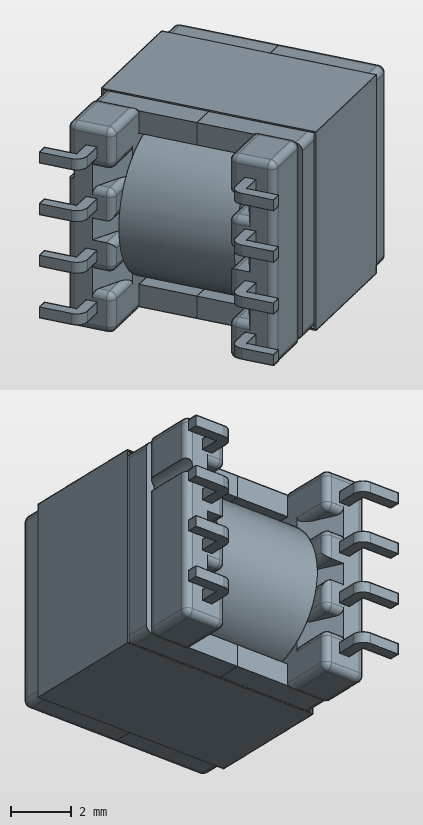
import cadquery as cq


EDGE_RADIUS = 0.25
PIN_PITCH = 1.9

CORE_WIDTH = 7.67
CORE_HEIGHT = 7.19
CORE_FRONT = 3.17
CORE_BACK = 9.77
CORE_DEPTH = CORE_BACK - CORE_FRONT
CORE_MID_Y = (CORE_FRONT + CORE_BACK) / 2

TAPE_THICKNESS_X = 0.07
TAPE_THICKNESS_Z = 0.05
TAPE_FRONT = 4.09
TAPE_BACK = 8.82

WINDING_RADIUS = 2.7
WINDING_LENGTH = 4.2
WINDING_CLEARANCE = 0.08
WINDING_FRONT = 1.58
AXIS_Y = WINDING_FRONT + WINDING_RADIUS
BARREL_RADIUS = 1.65
FLANGE_THICKNESS = 0.4
CAVITY_RADIUS = WINDING_RADIUS + WINDING_CLEARANCE
CAVITY_LENGTH = WINDING_LENGTH + 2 * FLANGE_THICKNESS

RAIL_INNER = WINDING_LENGTH / 2
RAIL_OUTER = 3.76
RAIL_FRONT = 1.14
RAIL_HEIGHT = 7.5
GROOVE_RADIUS = 0.25

NOTCH_DEPTH = 0.76
NOTCH_RUN = 1.52
SIDE_NOTCH_WIDTH = 0.75
MIDDLE_NOTCH_WIDTH = 0.8

PIN_THICKNESS = 0.4
PIN_LEG_INNER = 2.69
PIN_SPAN = 8.51
PIN_COUNT = 4


def box(x_range, y_range, z_range):
    """Box between the given limits on each axis."""
    low, high = zip(x_range, y_range, z_range)
    sizes = [b - a for a, b in zip(low, high)]
    return cq.Workplane("XY").box(*sizes, centered=False).translate(low)


def x_cylinder(radius, length):
    """Cylinder on the winding axis, centred on X = 0."""
    start = (-length / 2, AXIS_Y, 0)
    return cq.Workplane("YZ", origin=start).circle(radius).extrude(length)


def cavity_fill(x_start, x_end):
    """Slice of the core cavity: straight from the core front, then round at the back."""
    return (
        cq.Workplane("YZ", origin=(x_start, 0, 0))
        .moveTo(CORE_FRONT, -CAVITY_RADIUS)
        .lineTo(AXIS_Y, -CAVITY_RADIUS)
        .threePointArc((AXIS_Y + CAVITY_RADIUS, 0), (AXIS_Y, CAVITY_RADIUS))
        .lineTo(CORE_FRONT, CAVITY_RADIUS)
        .close()
        .extrude(x_end - x_start)
    )


def mirrored(shape):
    """Copy of a shape on the other side of X = 0."""
    return shape.mirror("YZ")


def make_core_half():
    """Core half on the +X side, with its open face at X = 0."""
    block = cq.Workplane("XY").box(CORE_WIDTH, CORE_DEPTH, CORE_HEIGHT).translate((0, CORE_MID_Y, 0))
    block = block.edges("|Y or >Y").fillet(EDGE_RADIUS)
    block = block.cut(cavity_fill(-CAVITY_LENGTH / 2, CAVITY_LENGTH / 2))
    return block.intersect(
        box((0, CORE_WIDTH), (CORE_FRONT, CORE_BACK), (-CORE_HEIGHT / 2, CORE_HEIGHT / 2))
    )


def make_tape():
    """Thin rectangular sleeve around both core halves."""
    return (
        cq.Workplane("XZ", origin=(0, TAPE_FRONT, 0))
        .rect(CORE_WIDTH + 2 * TAPE_THICKNESS_X, CORE_HEIGHT + 2 * TAPE_THICKNESS_Z)
        .rect(CORE_WIDTH, CORE_HEIGHT)
        .extrude(TAPE_FRONT - TAPE_BACK)
    )


def make_winding():
    """Wire winding around the barrel, between the flanges."""
    return x_cylinder(WINDING_RADIUS, WINDING_LENGTH).cut(x_cylinder(BARREL_RADIUS, WINDING_LENGTH))


def notch_cutter(width, z_centre):
    """Wedge that is deepest at the rail front and fades out on its inner face."""
    return (
        cq.Workplane("XY", origin=(0, 0, z_centre - width / 2))
        .moveTo(RAIL_INNER, RAIL_FRONT)
        .lineTo(RAIL_INNER + NOTCH_DEPTH, RAIL_FRONT)
        .lineTo(RAIL_INNER, RAIL_FRONT + NOTCH_RUN)
        .close()
        .extrude(width)
    )


def middle_notch_selector():
    """Selects the edges whose middle lies around the middle notch."""
    z_limit = PIN_PITCH / 2
    return cq.selectors.BoxSelector((0, 0, -z_limit), (RAIL_OUTER, CORE_FRONT, z_limit))


def make_rail():
    """Pin rail on the +X side, with three wire notches and rounded edges."""
    half_height = RAIL_HEIGHT / 2
    rail = box((RAIL_INNER, RAIL_OUTER), (RAIL_FRONT, CORE_FRONT), (-half_height, half_height))
    for z_centre in (-PIN_PITCH, PIN_PITCH):
        rail = rail.cut(notch_cutter(SIDE_NOTCH_WIDTH, z_centre))
    rail = rail.cut(notch_cutter(MIDDLE_NOTCH_WIDTH, 0))

    rear_inner_edge = rail.faces("<X").edges(">Y")
    notch_floor_edges = rail.faces("not (|X or |Y or |Z)").edges()
    middle_front_edges = rail.faces("<Y").edges("|X").edges(middle_notch_selector())
    sharp_edges = rear_inner_edge.vals() + notch_floor_edges.vals() + middle_front_edges.vals()
    round_edges = [
        edge for edge in rail.edges().vals() if not any(edge.isSame(sharp) for sharp in sharp_edges)
    ]
    return rail.newObject(round_edges).fillet(EDGE_RADIUS)


def make_pin(z_centre):
    """L-shaped pin on the +X side: a leg out of the rail and a foot on Y = 0."""
    leg_outer = PIN_LEG_INNER + PIN_THICKNESS
    return (
        cq.Workplane("XY", origin=(0, 0, z_centre - PIN_THICKNESS / 2))
        .moveTo(PIN_LEG_INNER, RAIL_FRONT)
        .lineTo(PIN_LEG_INNER, PIN_THICKNESS)
        .radiusArc((leg_outer, 0), -PIN_THICKNESS)
        .lineTo(PIN_SPAN / 2, 0)
        .lineTo(PIN_SPAN / 2, PIN_THICKNESS)
        .lineTo(leg_outer, PIN_THICKNESS)
        .lineTo(leg_outer, RAIL_FRONT)
        .close()
        .extrude(PIN_THICKNESS)
    )


def make_index_groove():
    """Half-round groove along Y that marks the -X rail."""
    return (
        cq.Workplane("XZ", origin=(-RAIL_OUTER, RAIL_FRONT, PIN_PITCH))
        .circle(GROOVE_RADIUS)
        .extrude(RAIL_FRONT - CORE_FRONT)
    )


def make_bobbin():
    """Bobbin in one piece: barrel, two flanges, two rails and the pins moulded into them."""
    side = make_rail().union(cavity_fill(RAIL_INNER, RAIL_INNER + FLANGE_THICKNESS))
    for index in range(PIN_COUNT):
        side = side.union(make_pin((index - (PIN_COUNT - 1) / 2) * PIN_PITCH))
    marked_side = mirrored(side).cut(make_index_groove())
    return x_cylinder(BARREL_RADIUS, WINDING_LENGTH).union(side).union(marked_side)


right_core_half = make_core_half()
left_core_half = mirrored(right_core_half)
tape = make_tape()
winding = make_winding()
bobbin = make_bobbin()

result = cq.Compound.makeCompound(
    [right_core_half.val(), left_core_half.val(), tape.val(), winding.val(), bobbin.val()]
)